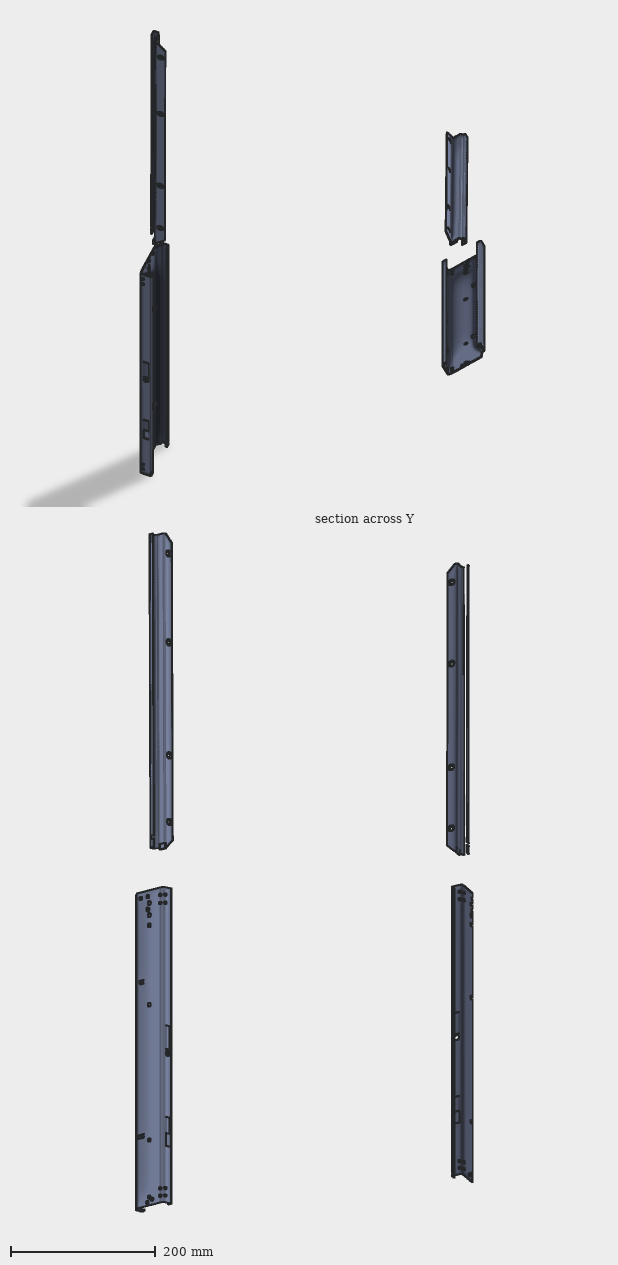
import cadquery as cq
import math

OVERALL_LENGTH = 960.0
OVERALL_HEIGHT = 62.0
OVERALL_DEPTH = 32.0
SHEET = 1.4
BEND_INNER = 0.5
BEND_OUTER = BEND_INNER + SHEET
CUT_MARGIN = 1.0

SIDE_TOP_Z = 450.0
SIDE_BOTTOM_Z = 1.0
SIDE_DEPTH = 17.0
FOOT_INSET = 1.0
FOOT_SLANT_HEIGHT = 7.0
SIDE_LIP_HEIGHT = 7.2
RIM_STEP = 6.0
STEP_LOW_Y = 54.0
STEP_HIGH_Y = 59.0
RIM_LIP_HEIGHT = 7.0
STOP_TAB_SIZE = 3.0
STOP_TAB_RISE = 1.0
STOP_TAB_X = 13.0
STOP_TAB_Y = 58.0
LIP_NOTCH_Z = 5.0
LIP_NOTCH_SIZE = 4.0

LARGE_HOLE = 6.0
LARGE_HOLE_YZ = [(29.0, 432.0), (32.0, 423.0), (29.0, 415.0), (29.0, 400.0), (29.0, 287.0)]
SMALL_HOLE = 5.0
SMALL_HOLE_YZ = [
    (46.0, 442.0), (32.0, 442.0), (29.0, 94.0),
    (29.0, 12.0), (23.0, 9.0), (33.0, 6.0),
]
FOOT_HOLE = 4.0
FOOT_HOLE_Y = 7.0
FOOT_HOLE_X = 5.0
FOOT_HOLE_Z = [440.0, 428.0, 21.0, 11.0]

WINDOW_HEIGHT = 4.0
WINDOW_TAB_DEPTH = 5.0
WINDOWS = [(40.0, 48.0, 323.0), (39.0, 52.0, 103.0)]

TONGUE_NEAR_X = 6.0
TONGUE_FAR_X = 13.0
TONGUE_RISE = 1.0
TONGUES = [(220.0, 253.0, False), (100.0, 123.0, False), (82.0, 100.0, True)]

TONGUE_HOLE = 8.0
TONGUE_HOLE_X = 10.0
TONGUE_HOLE_Z = 214.0

RUNNER_TOP_Z = OVERALL_LENGTH
RUNNER_BOTTOM_Z = 513.0
RUNNER_NEAR_X = 6.0
RUNNER_CHANNEL_X = 14.0
RUNNER_WEB_X = 17.0
RUNNER_TOP_Y = 35.5
RUNNER_LIP_Y = 28.0
RUNNER_JOG_TOP_Y = 33.0
RUNNER_FLANGE_Y = 17.0
RUNNER_TILT = 0.25
FLANGE_CHAMFER = 11.5
SCREW_HOLE = 5.0
SCREW_SINK = 10.0
SCREW_X = 25.0
SCREW_Z = [932.0, 805.0, 644.0, 549.0]
LIP_SLOT_Z = 527.0
LIP_SLOT_SIZE = 5.0
END_TAB_LOW_Y = 14.0
END_TAB_HIGH_Y = 25.0
END_TAB_RISE = 5.0
END_TAB_THICKNESS = 3.0
END_TAB_DROP = 3.0


def box(x_min, x_max, y_min, y_max, z_min, z_max):
    size = (x_max - x_min, y_max - y_min, z_max - z_min)
    return cq.Workplane("XY").box(*size, centered=False).translate((x_min, y_min, z_min))


def prism(outline, z_min, z_max):
    return cq.Workplane("XY").workplane(offset=z_min).polyline(outline).close().extrude(z_max - z_min)


def headings(path):
    """Direction angle of each straight stretch of a path."""
    return [math.atan2(y2 - y1, x2 - x1) for (x1, y1), (x2, y2) in zip(path, path[1:])]


def offset_to_right(path):
    """Shift a path to its right by the sheet thickness, with mitred corners."""
    angles = headings(path)
    shifted = []
    for (x, y), before, after in zip(path, angles[:1] + angles, angles + angles[-1:]):
        middle = (before + after) / 2
        reach = SHEET / math.cos((after - before) / 2)
        shifted.append((x + reach * math.sin(middle), y - reach * math.cos(middle)))
    return shifted


def bent_sheet(path, z_min, z_max):
    """Sheet along Z whose left face follows the path; every corner becomes a bend."""
    inner = offset_to_right(path)
    sheet = prism(path + inner[::-1], z_min, z_max)
    angles = headings(path)
    for corner in range(1, len(path) - 1):
        turns_right = math.sin(angles[corner] - angles[corner - 1]) < 0
        left_radius = BEND_OUTER if turns_right else BEND_INNER
        right_radius = BEND_INNER if turns_right else BEND_OUTER
        middle_z = (z_min + z_max) / 2
        for (x, y), radius in ((path[corner], left_radius), (inner[corner], right_radius)):
            edge = cq.selectors.NearestToPointSelector((x, y, middle_z))
            sheet = sheet.edges("|Z").edges(edge).fillet(radius)
    return sheet


def wall_hole(y, z, diameter):
    start = cq.Vector(-CUT_MARGIN, y, z)
    hole = cq.Solid.makeCylinder(diameter / 2, SHEET + 2 * CUT_MARGIN, start, cq.Vector(1, 0, 0))
    return cq.Workplane(obj=hole)


def flange_hole(x, z, diameter):
    start = cq.Vector(x, -CUT_MARGIN, z)
    hole = cq.Solid.makeCylinder(diameter / 2, SHEET + 2 * CUT_MARGIN, start, cq.Vector(0, 1, 0))
    return cq.Workplane(obj=hole)


def add_window(side, y_min, y_max, z_middle):
    """Wall window whose lower edge is folded inward as a tab."""
    z_min = z_middle - WINDOW_HEIGHT / 2
    opening = box(-CUT_MARGIN, SHEET + CUT_MARGIN, y_min, y_max, z_min, z_min + WINDOW_HEIGHT)
    tab = box(0, WINDOW_TAB_DEPTH, y_min, y_max, z_min - SHEET, z_min)
    return side.cut(opening).union(tab)


def add_tongue(side, z_min, z_max, hinged_far):
    """Flange strip pressed into a slant, raised into the profile along one side."""
    opening = box(TONGUE_NEAR_X, TONGUE_FAR_X, -CUT_MARGIN, SHEET + CUT_MARGIN, z_min, z_max)
    hinge_x = TONGUE_FAR_X if hinged_far else TONGUE_NEAR_X
    free_x = TONGUE_NEAR_X if hinged_far else TONGUE_FAR_X
    outline = [
        (hinge_x, 0),
        (hinge_x, SHEET),
        (free_x, SHEET + TONGUE_RISE),
        (free_x, TONGUE_RISE),
    ]
    return side.cut(opening).union(prism(outline, z_min, z_max))


def make_drawer_side():
    profile = [
        (SIDE_DEPTH, SIDE_LIP_HEIGHT),
        (SIDE_DEPTH, 0),
        (FOOT_INSET, 0),
        (0, FOOT_SLANT_HEIGHT),
        (0, STEP_LOW_Y),
        (RIM_STEP, STEP_HIGH_Y),
        (RIM_STEP, OVERALL_HEIGHT),
        (SIDE_DEPTH, OVERALL_HEIGHT),
        (SIDE_DEPTH, OVERALL_HEIGHT - RIM_LIP_HEIGHT),
    ]
    side = bent_sheet(profile, SIDE_BOTTOM_Z, SIDE_TOP_Z)
    for y, z in LARGE_HOLE_YZ:
        side = side.cut(wall_hole(y, z, LARGE_HOLE))
    for y, z in SMALL_HOLE_YZ:
        side = side.cut(wall_hole(y, z, SMALL_HOLE))
    for z in FOOT_HOLE_Z:
        side = side.cut(wall_hole(FOOT_HOLE_Y, z, FOOT_HOLE))
        side = side.cut(flange_hole(FOOT_HOLE_X, z, FOOT_HOLE))
    for window in WINDOWS:
        side = add_window(side, *window)
    for tongue in TONGUES:
        side = add_tongue(side, *tongue)
    side = side.cut(flange_hole(TONGUE_HOLE_X, TONGUE_HOLE_Z, TONGUE_HOLE))
    notch = box(
        SIDE_DEPTH - SHEET, SIDE_DEPTH + CUT_MARGIN, -CUT_MARGIN, OVERALL_HEIGHT + CUT_MARGIN,
        LIP_NOTCH_Z - LIP_NOTCH_SIZE / 2, LIP_NOTCH_Z + LIP_NOTCH_SIZE / 2,
    )
    stop_tab = box(
        STOP_TAB_X, STOP_TAB_X + STOP_TAB_SIZE, STOP_TAB_Y, STOP_TAB_Y + STOP_TAB_SIZE,
        0, SIDE_BOTTOM_Z + STOP_TAB_RISE,
    )
    return side.cut(notch).union(stop_tab)


def screw_hole(z):
    """Countersunk hole through the runner's flange, widest on its -Y face."""
    down_y = RUNNER_FLANGE_Y - SHEET
    up = cq.Vector(0, 1, 0)
    start = cq.Vector(SCREW_X, down_y, z)
    sink = cq.Solid.makeCone(SCREW_SINK / 2, SCREW_HOLE / 2, SHEET, start, up)
    bore = cq.Solid.makeCylinder(SCREW_HOLE / 2, SHEET + CUT_MARGIN, start, up)
    return cq.Workplane(obj=sink).union(cq.Workplane(obj=bore))


def make_runner():
    jog_depth = RUNNER_WEB_X - RUNNER_CHANNEL_X
    profile = [
        (RUNNER_NEAR_X, RUNNER_LIP_Y),
        (RUNNER_NEAR_X, RUNNER_TOP_Y),
        (RUNNER_CHANNEL_X, RUNNER_TOP_Y),
        (RUNNER_CHANNEL_X, RUNNER_JOG_TOP_Y),
        (RUNNER_WEB_X, RUNNER_JOG_TOP_Y - jog_depth),
        (RUNNER_WEB_X, RUNNER_FLANGE_Y),
        (OVERALL_DEPTH, RUNNER_FLANGE_Y),
    ]
    runner = bent_sheet(profile, RUNNER_BOTTOM_Z, RUNNER_TOP_Z)
    flange_corners = runner.edges("|Y and >X").edges(">Z or <Z")
    runner = flange_corners.chamfer(FLANGE_CHAMFER)
    for z in SCREW_Z:
        runner = runner.cut(screw_hole(z))
    lip_slot = box(
        RUNNER_NEAR_X - CUT_MARGIN, RUNNER_NEAR_X + SHEET,
        RUNNER_LIP_Y - CUT_MARGIN, RUNNER_TOP_Y + CUT_MARGIN,
        LIP_SLOT_Z - LIP_SLOT_SIZE / 2, LIP_SLOT_Z + LIP_SLOT_SIZE / 2,
    )
    end_tab = box(
        RUNNER_WEB_X - END_TAB_THICKNESS, RUNNER_WEB_X, END_TAB_LOW_Y, END_TAB_HIGH_Y,
        RUNNER_BOTTOM_Z - END_TAB_DROP, RUNNER_BOTTOM_Z + END_TAB_RISE,
    )
    runner = runner.cut(lip_slot).union(end_tab)
    pivot = (0, RUNNER_FLANGE_Y, RUNNER_TOP_Z)
    return runner.rotate(pivot, (1, RUNNER_FLANGE_Y, RUNNER_TOP_Z), -RUNNER_TILT)


drawer_side = make_drawer_side()
runner = make_runner()

result = cq.Compound.makeCompound([drawer_side.val(), runner.val()])